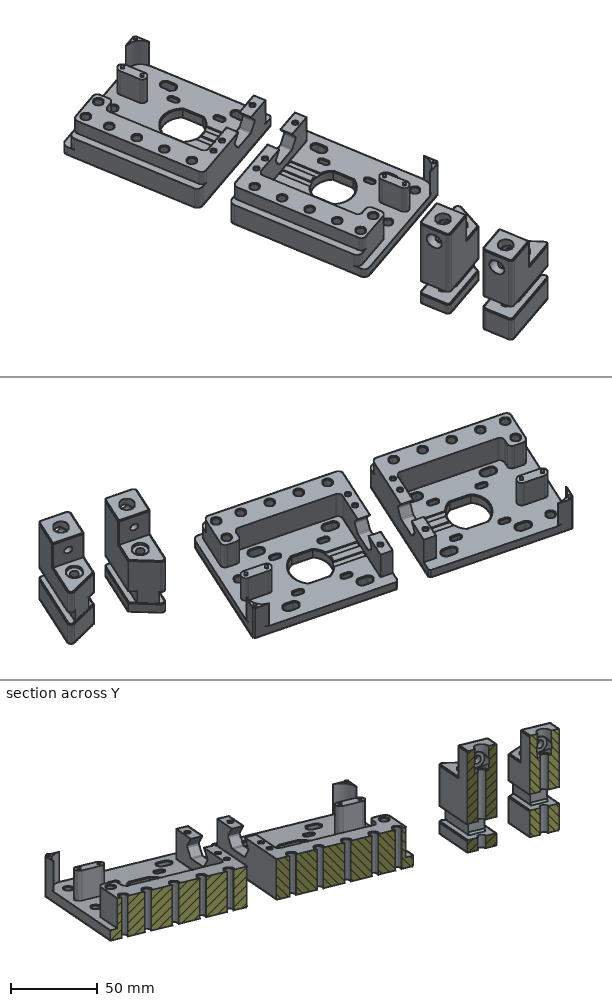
import cadquery as cq
PLATE_LENGTH = 92.2
PLATE_DEPTH = 82.0
BASE_THICKNESS = 7.0
LEDGE_HEIGHT = 16.0
PLATE_HEIGHT = 26.0
PLATE_GAP = 19.5
PLATE_CORNER_RADIUS = 3.5
BOTTOM_CHAMFER = 0.5
BACK_CORNER_CHAMFER = 1.2

LEDGE_WIDTH = 4.5
RAIL_START_X = 4.8
RAIL_INNER_Y = 20.5
LOBE_END_X = 16.5
LOBE_END_Y = 30.0
WALL_THICKNESS = 8.0
WALL_BACK_Y = PLATE_DEPTH - 7.3
RAIL_RADIUS = 3.0

NOTCH_Y = PLATE_DEPTH - 30.8
NOTCH_HALF_FLAT = 7.3
NOTCH_HALF_WIDTH = 11.5
NOTCH_FLOOR_HEIGHT = 13.5
NOTCH_FILLET = 1.0

POST_RADIUS = 10.0
POST_TIP_THICKNESS = 0.3
NUB_HEIGHT = 1.0
NUB_DIAMETER = 2.03
POST_NUB_INSET = 1.8
BAR_LENGTH = 19.3
BAR_WIDTH = 6.0
BAR_START_X = 4.5
BAR_Y = PLATE_DEPTH - 26.3

MOTOR_X = 51.7
MOTOR_Y = PLATE_DEPTH - 32.3
BORE_DIAMETER = 26.3
BORE_FLAT_WIDTH = 22.7
RIM_CHAMFER = 0.5
SCREW_DIAMETER = 5.0
LARGE_SLOT_OFFSET = 23.5
LARGE_SLOT_LENGTH = 9.5
SMALL_SLOT_OFFSET = 15.5
SMALL_SLOT_LENGTH = 6.3
SMALL_SLOT_WIDTH = 3.0
GROOVE_CENTRE_OFFSET = 4.2
GROOVE_WIDTH = 4.0
GROOVE_DEPTH = 1.0
GROOVE_END_RADIUS = 1.5

SIDE_HOLE_X = 10.0
ROW_HOLE_Y = 10.3
RAIL_HOLE_YS = [ROW_HOLE_Y, 24.5]
BASE_HOLE_YS = [41.0, 71.5]
ROW_START_X = 25.7
ROW_PITCH = 18.5
ROW_COUNT = 4
WALL_HOLE_DIAMETER = 2.55
WALL_HOLE_X = PLATE_LENGTH - WALL_THICKNESS / 2 - 0.5
WALL_HOLE_YS = [23.5, 33.3, 67.5]

BLOCK_WIDTH = 20.3
BLOCK_HEIGHT = 64.5
BLOCK_FRONT_Y = -1.2
BLOCK_SHORT_DEPTH = 33.3
BLOCK_RISE = 10.5
TOWER_DEPTH = 20.0
STEP_HEIGHT = 44.0
BLOCK_CORNER_RADIUS = 2.5
BLOCK_CHAMFER = 0.5
FOOT_HEIGHTS = [8.2, 17.2]
NECK_HEIGHT = 10.0
NECK_INSET = 4.5
NECK_FRONT = 16.0
NECK_FLARE_HEIGHT = 1.5
NECK_FLARE_DEPTH = 1.0

BLOCK_HOLE_FRONT = 10.0
BLOCK_HOLE_SPACING = 18.0
TOWER_BORE_DIAMETER = 9.0
HEAD_BORE_DIAMETER = 10.0
TOWER_BORE_DEPTH = 15.0
STEP_BORE_DEPTH = 1.8
CROSS_BORE_DROP = 9.7

TOTAL_LENGTH = 302.3
LOW_BLOCK_X = 240.0


def box(x0, x1, y0, y1, z0, z1):
    """Box between the given limits."""
    return cq.Workplane("XY").box(x1 - x0, y1 - y0, z1 - z0, centered=False).translate((x0, y0, z0))


def rail():
    """L-shaped rail along the front and the end wall, with a ledge along its front face."""
    wall_x = PLATE_LENGTH - WALL_THICKNESS
    body = (
        cq.Workplane("XY")
        .polyline([
            (RAIL_START_X, 0),
            (PLATE_LENGTH, 0),
            (PLATE_LENGTH, WALL_BACK_Y),
            (wall_x, WALL_BACK_Y),
            (wall_x, RAIL_INNER_Y),
            (LOBE_END_X, RAIL_INNER_Y),
            (LOBE_END_X, LOBE_END_Y),
            (RAIL_START_X, LOBE_END_Y),
        ])
        .close()
        .extrude(PLATE_HEIGHT)
    )
    rounded_corners = [
        (wall_x, RAIL_INNER_Y),
        (LOBE_END_X, RAIL_INNER_Y),
        (LOBE_END_X, LOBE_END_Y),
        (RAIL_START_X, LOBE_END_Y),
    ]
    for x, y in rounded_corners:
        body = body.edges(cq.selectors.NearestToPointSelector((x, y, PLATE_HEIGHT / 2))).fillet(RAIL_RADIUS)
    body = body.edges("|Z and <Y").fillet(PLATE_CORNER_RADIUS)
    upper_limit = (
        cq.Workplane("XY", origin=(0, 0, LEDGE_HEIGHT))
        .moveTo(RAIL_START_X, LEDGE_WIDTH)
        .rect(PLATE_LENGTH - RAIL_START_X, PLATE_DEPTH, centered=False)
        .extrude(PLATE_HEIGHT - LEDGE_HEIGHT)
        .edges("|Z and <Y")
        .fillet(RAIL_RADIUS)
    )
    lower_limit = box(0, PLATE_LENGTH, 0, PLATE_DEPTH, 0, LEDGE_HEIGHT)
    return body.intersect(lower_limit.union(upper_limit))


def wall_notch():
    """Six-sided notch through the end wall, open at the top."""
    half_height = PLATE_HEIGHT - NOTCH_FLOOR_HEIGHT
    middle_z = NOTCH_FLOOR_HEIGHT + half_height / 2
    profile = [
        (NOTCH_Y - NOTCH_HALF_FLAT, NOTCH_FLOOR_HEIGHT),
        (NOTCH_Y + NOTCH_HALF_FLAT, NOTCH_FLOOR_HEIGHT),
        (NOTCH_Y + NOTCH_HALF_WIDTH, middle_z),
        (NOTCH_Y + NOTCH_HALF_FLAT, PLATE_HEIGHT),
        (NOTCH_Y - NOTCH_HALF_FLAT, PLATE_HEIGHT),
        (NOTCH_Y - NOTCH_HALF_WIDTH, middle_z),
    ]
    return (
        cq.Workplane("YZ", origin=(PLATE_LENGTH - WALL_THICKNESS, 0, 0))
        .polyline(profile)
        .close()
        .extrude(WALL_THICKNESS)
        .edges("|X and (not >Z)")
        .fillet(NOTCH_FILLET)
    )


def nub(x, y):
    """Small locating pin standing on the top of a support."""
    return cq.Workplane("XY", origin=(x, y, PLATE_HEIGHT)).circle(NUB_DIAMETER / 2).extrude(NUB_HEIGHT)


def corner_post():
    """Post filling the back corner, hollowed by a concave quarter round."""
    size = POST_RADIUS + POST_TIP_THICKNESS
    post = box(0, POST_RADIUS, PLATE_DEPTH - POST_RADIUS, PLATE_DEPTH, 0, PLATE_HEIGHT)
    post = post.edges("|Z and >Y and <X").chamfer(BACK_CORNER_CHAMFER)
    hollow = (
        cq.Workplane("XY", origin=(size, PLATE_DEPTH - size, BASE_THICKNESS))
        .circle(POST_RADIUS)
        .extrude(PLATE_HEIGHT)
    )
    return post.cut(hollow).union(nub(POST_NUB_INSET, PLATE_DEPTH - POST_NUB_INSET))


def spacer_bar():
    """Round-ended upright bar with a nub over each end centre."""
    centre_x = BAR_START_X + BAR_LENGTH / 2
    half_span = (BAR_LENGTH - BAR_WIDTH) / 2
    bar = cq.Workplane("XY").center(centre_x, BAR_Y).slot2D(BAR_LENGTH, BAR_WIDTH).extrude(PLATE_HEIGHT)
    for side in (-1, 1):
        bar = bar.union(nub(centre_x + side * half_span, BAR_Y))
    return bar


def rimmed_hole(sketch, top_z):
    """Through cutter of the sketched openings, with a 45 degree rim chamfer at the given height."""
    shaft = cq.Workplane("XY").placeSketch(sketch).extrude(top_z)
    rim = (
        cq.Workplane("XY", origin=(0, 0, top_z - RIM_CHAMFER))
        .placeSketch(sketch)
        .extrude(RIM_CHAMFER, taper=-45)
    )
    return shaft.union(rim)


def motor_openings():
    """Motor bore with flats at front and back, and a square of slots for each of two motor sizes."""
    bore = (
        cq.Sketch()
        .push([(MOTOR_X, MOTOR_Y)])
        .circle(BORE_DIAMETER / 2)
        .rect(BORE_DIAMETER, BORE_FLAT_WIDTH, mode="i")
    )
    cutters = rimmed_hole(bore, BASE_THICKNESS)
    slot_sizes = [
        (LARGE_SLOT_OFFSET, LARGE_SLOT_LENGTH, SCREW_DIAMETER),
        (SMALL_SLOT_OFFSET, SMALL_SLOT_LENGTH, SMALL_SLOT_WIDTH),
    ]
    for offset, length, width in slot_sizes:
        for side_x in (-1, 1):
            for side_y in (-1, 1):
                centre = (MOTOR_X + side_x * offset, MOTOR_Y + side_y * offset)
                slot = cq.Sketch().push([centre]).slot(length - width, width)
                cutters = cutters.union(rimmed_hole(slot, BASE_THICKNESS))
    return cutters


def cable_grooves():
    """Two shallow grooves from the motor opening to the end wall."""
    length = PLATE_LENGTH - WALL_THICKNESS - MOTOR_X
    offsets = [(length / 2, -GROOVE_CENTRE_OFFSET), (length / 2, GROOVE_CENTRE_OFFSET)]
    return (
        cq.Workplane("XY", origin=(MOTOR_X, MOTOR_Y, BASE_THICKNESS - GROOVE_DEPTH))
        .pushPoints(offsets)
        .rect(length, GROOVE_WIDTH)
        .extrude(GROOVE_DEPTH)
        .edges("|Z and >X")
        .fillet(GROOVE_END_RADIUS)
    )


def screw_holes():
    """Vertical screw holes through the base, the rail and the end wall."""
    row = [(ROW_START_X + i * ROW_PITCH, ROW_HOLE_Y) for i in range(ROW_COUNT)]
    groups = [
        ([(SIDE_HOLE_X, y) for y in BASE_HOLE_YS], SCREW_DIAMETER, BASE_THICKNESS),
        (row + [(SIDE_HOLE_X, y) for y in RAIL_HOLE_YS], SCREW_DIAMETER, PLATE_HEIGHT),
        ([(WALL_HOLE_X, y) for y in WALL_HOLE_YS], WALL_HOLE_DIAMETER, PLATE_HEIGHT),
    ]
    cutters = cq.Workplane("XY")
    for centres, diameter, top_z in groups:
        for centre in centres:
            hole = cq.Sketch().push([centre]).circle(diameter / 2)
            cutters = cutters.union(rimmed_hole(hole, top_z))
    return cutters


def motor_plate():
    """Left-hand motor plate with its back left corner post."""
    base = box(0, PLATE_LENGTH, 0, PLATE_DEPTH, 0, BASE_THICKNESS)
    base = base.edges("|Z and <Y").fillet(PLATE_CORNER_RADIUS)
    base = base.edges("|Z and >Y").chamfer(BACK_CORNER_CHAMFER)
    plate = base.union(rail()).union(corner_post()).union(spacer_bar())
    plate = plate.faces("<Z").chamfer(BOTTOM_CHAMFER)
    return plate.cut(wall_notch()).cut(motor_openings()).cut(cable_grooves()).cut(screw_holes())


def block_outline(height):
    """Solid block with a slanted back and rounded front corners and tip."""
    long_depth = BLOCK_SHORT_DEPTH + BLOCK_RISE
    return (
        cq.Workplane("XY")
        .polyline([
            (0, 0), (BLOCK_WIDTH, 0), (BLOCK_WIDTH, BLOCK_SHORT_DEPTH), (0, long_depth),
        ])
        .close()
        .extrude(height)
        .edges("(|Z and <Y) or (|Z and >Y)")
        .fillet(BLOCK_CORNER_RADIUS)
    )


def block_neck(foot_height):
    """Narrow neck between foot and upper body, flared at both ends of its front."""
    top = foot_height + NECK_HEIGHT
    depth = BLOCK_SHORT_DEPTH + BLOCK_RISE
    profile = [
        (NECK_FRONT - NECK_FLARE_DEPTH, foot_height),
        (depth, foot_height),
        (depth, top),
        (NECK_FRONT - NECK_FLARE_DEPTH, top),
        (NECK_FRONT, top - NECK_FLARE_HEIGHT),
        (NECK_FRONT, foot_height + NECK_FLARE_HEIGHT),
    ]
    neck = (
        cq.Workplane("YZ", origin=(NECK_INSET, 0, 0))
        .polyline(profile)
        .close()
        .extrude(BLOCK_WIDTH - 2 * NECK_INSET)
    )
    return neck.intersect(block_outline(BLOCK_HEIGHT))


def block_holes():
    """Two vertical counterbored screw holes and a counterbored cross hole."""
    middle_x = BLOCK_WIDTH / 2
    back_y = BLOCK_HOLE_FRONT + BLOCK_HOLE_SPACING
    cross_z = BLOCK_HEIGHT - CROSS_BORE_DROP

    def upright(y, z0, z1, diameter):
        return cq.Workplane("XY", origin=(middle_x, y, z0)).circle(diameter / 2).extrude(z1 - z0)

    def crosswise(depth, diameter):
        return cq.Workplane("XZ", origin=(middle_x, 0, cross_z)).circle(diameter / 2).extrude(-depth)

    return [
        upright(BLOCK_HOLE_FRONT, 0, BLOCK_HEIGHT, SCREW_DIAMETER),
        upright(BLOCK_HOLE_FRONT, BLOCK_HEIGHT - TOWER_BORE_DEPTH, BLOCK_HEIGHT, TOWER_BORE_DIAMETER),
        upright(back_y, 0, STEP_HEIGHT, SCREW_DIAMETER),
        upright(back_y, STEP_HEIGHT - STEP_BORE_DEPTH, STEP_HEIGHT, HEAD_BORE_DIAMETER),
        crosswise(TOWER_DEPTH, SCREW_DIAMETER),
        crosswise(TOWER_BORE_DEPTH, HEAD_BORE_DIAMETER),
    ]


def clamp_block(foot_height):
    """Clamp block whose slanted back is longest on its left side."""
    upper_z = foot_height + NECK_HEIGHT
    foot = block_outline(foot_height).faces("<Z or >Z").chamfer(BLOCK_CHAMFER)
    shoulder = block_outline(STEP_HEIGHT - upper_z).faces(">Z").chamfer(BLOCK_CHAMFER)
    tower = block_outline(BLOCK_HEIGHT - upper_z).intersect(
        box(0, BLOCK_WIDTH, 0, TOWER_DEPTH, 0, BLOCK_HEIGHT)
    )
    tower = tower.edges("|Z and >Y").chamfer(BLOCK_CHAMFER).faces(">Z").chamfer(BLOCK_CHAMFER)
    upper = shoulder.union(tower).translate((0, 0, upper_z))
    block = foot.union(block_neck(foot_height)).union(upper)
    for hole in block_holes():
        block = block.cut(hole)
    return block


left_plate = motor_plate()
right_plate = left_plate.mirror("YZ").translate((2 * PLATE_LENGTH + PLATE_GAP, 0, 0))
low_block = clamp_block(FOOT_HEIGHTS[0]).translate((LOW_BLOCK_X, BLOCK_FRONT_Y, 0))
high_block = clamp_block(FOOT_HEIGHTS[1]).mirror("YZ").translate((TOTAL_LENGTH, BLOCK_FRONT_Y, 0))

result = cq.Compound.makeCompound([
    left_plate.val(), right_plate.val(), low_block.val(), high_block.val(),
])